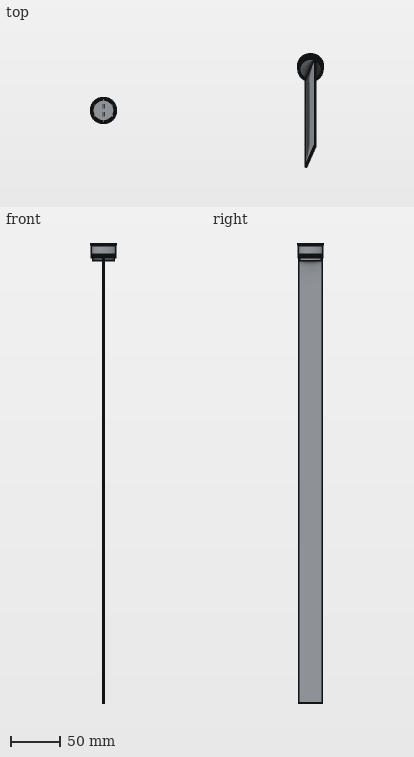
import cadquery as cq


FLANGE_DIAMETER = 26.0
FLANGE_THICKNESS = 1.0
CAP_HEIGHT = 2.0

POCKET_COUNT = 6
POCKET_INNER_RADIUS = 10.75
POCKET_OUTER_RADIUS = 12.25
POCKET_SPAN = 44.0
POCKET_DEPTH = 1.0

BODY_DIAMETER = 25.0
BODY_BOTTOM = 14.0
LIP_DIAMETER = 22.0
LIP_HEIGHT = 3.0

GROOVE_TOPS = (10.5, 12.5)
GROOVE_WIDTH = 0.3
GROOVE_DEPTH = 0.5

STRIP_THICKNESS = 1.5
STRIP_WIDTH = 24.0
OVERALL_HEIGHT = 464.0


def disc(diameter, top, height):
    """Round disc whose upper face is `top` below Z = 0."""
    return cq.Workplane("XY").workplane(offset=-top).circle(diameter / 2).extrude(-height)


def make_pocket_cutter():
    """One arc pocket, centred on the +X direction."""
    ring_section = (
        cq.Workplane("XZ")
        .moveTo(POCKET_INNER_RADIUS, 0)
        .lineTo(POCKET_OUTER_RADIUS, 0)
        .lineTo(POCKET_OUTER_RADIUS, -POCKET_DEPTH)
        .lineTo(POCKET_INNER_RADIUS, -POCKET_DEPTH)
        .close()
    )
    sector = ring_section.revolve(POCKET_SPAN, (0, 0, 0), (0, 1, 0))
    return sector.rotate((0, 0, 0), (0, 0, 1), -POCKET_SPAN / 2)


def make_cap():
    """Flanged cap with a ring of arc pockets."""
    flange = disc(FLANGE_DIAMETER, 0, FLANGE_THICKNESS)
    neck = disc(BODY_DIAMETER, FLANGE_THICKNESS, CAP_HEIGHT - FLANGE_THICKNESS)
    cap = flange.union(neck)
    pocket = make_pocket_cutter()
    for index in range(POCKET_COUNT):
        angle = index * 360 / POCKET_COUNT
        cap = cap.cut(pocket.rotate((0, 0, 0), (0, 0, 1), angle))
    return cap


def make_strip():
    """Long flat strip whose upper end butts against the underside of the plug body."""
    length = OVERALL_HEIGHT - BODY_BOTTOM
    return (
        cq.Workplane("XY")
        .workplane(offset=-BODY_BOTTOM)
        .rect(STRIP_THICKNESS, STRIP_WIDTH)
        .extrude(-length)
    )


def make_plug(strip):
    """Grooved plug with a smaller lip that is slotted across for the strip."""
    body = disc(BODY_DIAMETER, CAP_HEIGHT, BODY_BOTTOM - CAP_HEIGHT)
    core_diameter = BODY_DIAMETER - 2 * GROOVE_DEPTH
    for top in GROOVE_TOPS:
        groove = disc(BODY_DIAMETER, top, GROOVE_WIDTH).cut(disc(core_diameter, top, GROOVE_WIDTH))
        body = body.cut(groove)
    lip = disc(LIP_DIAMETER, BODY_BOTTOM, LIP_HEIGHT)
    return body.union(lip).cut(strip)


cap = make_cap()
strip = make_strip()
plug = make_plug(strip)

result = cq.Compound.makeCompound([cap.val(), plug.val(), strip.val()])